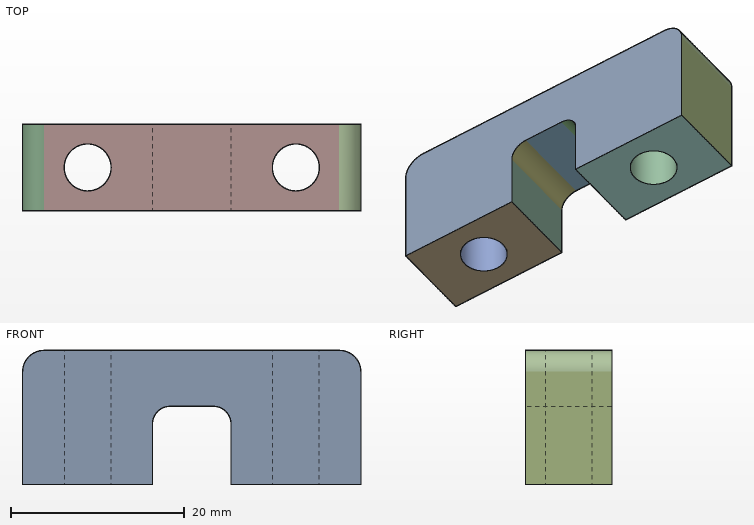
import cadquery as cq

length = 39.0
depth = 10.0
height = 15.5
top_corner_radius = 2.5

slot_width = 9.0
slot_height = 9.0
slot_corner_radius = 2.0

hole_diameter = 5.4
hole_spacing = 24.0


def rounded_top_block(width, block_depth, block_height, radius):
    """Block standing on Z = 0 with its two upper side edges rounded."""
    block = cq.Workplane("XY").box(width, block_depth, block_height, centered=(True, True, False))
    return block.edges("|Y and >Z").fillet(radius)


body = rounded_top_block(length, depth, height, top_corner_radius)
slot = rounded_top_block(slot_width, depth, slot_height, slot_corner_radius)

holes = (
    cq.Workplane("XY")
    .pushPoints([(-hole_spacing / 2, 0), (hole_spacing / 2, 0)])
    .circle(hole_diameter / 2)
    .extrude(height)
)

result = body.cut(slot).cut(holes)